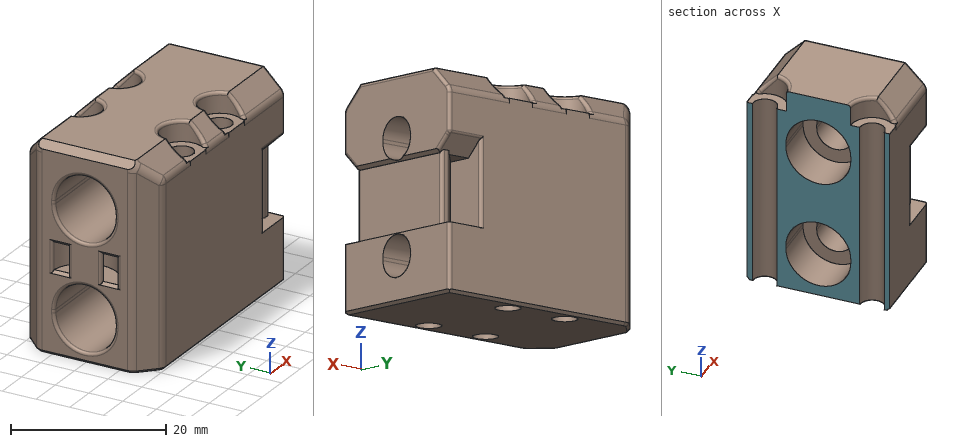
import cadquery as cq
length = 34.6
width = 20.0
height = 30.0

side_chamfer = 3.0
side_fillet = 1.5
front_top_chamfer = 1.0
bottom_chamfer = 0.4
small_fillet = 0.45

screw_xs = (12.0, 22.0)
screw_y = 7.5
screw_diameter = 3.4
counterbore_diameter = 6.0
counterbore_depth = side_chamfer
land_width = 4.1
land_depth = 1.4

bore_zs = (6.25, 21.75)
bore_width = 9.0
bore_flat = 0.5
bore_depth = 27.68
bore_rim_fillet = 0.4
through_width = 5.2

channel_center_x = -0.28
channel_z = 14.0
channel_radius = 3.7
channel_width = 2.25
channel_height = 3.95
window_edge = 0.4

opening_x = 29.03
opening_bottom = 9.25
opening_top = 18.75
roof_rise = 2.42
roof_chamfer = 0.5
web_half_width = 8.0
web_corner_x = 32.8
web_end_x = 34.05

margin = 0.05

screw_points = [(x, side * screw_y) for x in screw_xs for side in (-1, 1)]
counterbore_floor = height - counterbore_depth


def edges_between(body, low, high):
    """Edges of the body whose centres lie in the box between two opposite corners."""
    return body.edges(cq.selectors.BoxSelector(low, high))


def front_edges(body, center_z, half_width, half_height):
    """Edges on the front face in a rectangle centred on y = 0."""
    low = (-margin, -half_width - margin, center_z - half_height - margin)
    high = (margin, half_width + margin, center_z + half_height + margin)
    return edges_between(body, low, high)


def outer_block():
    """Block with broad chamfers on the front corners and long top edges, and softened edges."""
    block = cq.Workplane("XY").box(length, width, height, centered=(False, True, False))
    block = block.edges("|Z and <X").chamfer(side_chamfer)
    block = block.faces(">Z").edges("|X").chamfer(side_chamfer)

    uprights = block.edges("|Z").edges("not >X")
    long_ridges = block.edges("|X").edges("not (<Z or >Z)")
    corner_ridges = block.edges("not (|X or |Y or |Z or >X)").edges(">Z")
    block = uprights.add(long_ridges).add(corner_ridges).fillet(side_fillet)

    block = block.faces("<X").edges(">Z").chamfer(front_top_chamfer)
    block = block.faces("<Z").edges().chamfer(bottom_chamfer)
    return block.faces(">X").edges("not <Z").fillet(small_fillet)


def cut_counterbores(body):
    """Counterbores that break out through the top chamfers onto flat lands with a sharp outer edge."""
    floor = cq.Workplane("XY", origin=(0, 0, counterbore_floor))
    counterbores = floor.pushPoints(screw_points).circle(counterbore_diameter / 2).extrude(counterbore_depth)
    body = body.cut(counterbores)

    low = (screw_xs[0] - counterbore_diameter, -width, counterbore_floor + margin)
    high = (screw_xs[-1] + counterbore_diameter, width, height + margin)
    body = edges_between(body, low, high).edges("not %LINE").fillet(small_fillet)

    land_y = (width - land_depth) / 2
    land_points = [(x, side * land_y) for x in screw_xs for side in (-1, 1)]
    lands = floor.pushPoints(land_points).rect(land_width, land_depth).extrude(-land_depth)
    return body.union(lands)


def cut_screw_holes(body):
    """Screw holes from the counterbores through the bottom."""
    holes = cq.Workplane("XY").pushPoints(screw_points).circle(screw_diameter / 2).extrude(height)
    return body.cut(holes)


def rear_web():
    """Web in the rear opening, with sides that slope inwards at 45 degrees towards its root."""
    root_half_width = web_half_width - (web_corner_x - opening_x)
    web = (
        cq.Workplane("XY", origin=(0, 0, opening_bottom))
        .moveTo(opening_x, -root_half_width)
        .lineTo(web_corner_x, -web_half_width)
        .lineTo(web_end_x, -web_half_width)
        .lineTo(web_end_x, web_half_width)
        .lineTo(web_corner_x, web_half_width)
        .lineTo(opening_x, root_half_width)
        .close()
        .extrude(opening_top + roof_rise - opening_bottom)
    )
    return web.edges("|Z").edges("not <X").fillet(small_fillet)


def cut_rear_opening(body):
    """Clip opening across the rear, with softened edges above its sharp floor and a web inside."""
    half_width = width / 2
    roof_half_width = half_width - roof_rise
    opening_side_top = opening_top + roof_rise
    opening = (
        cq.Workplane("YZ", origin=(opening_x, 0, 0))
        .moveTo(-half_width, opening_bottom)
        .lineTo(half_width, opening_bottom)
        .lineTo(half_width, opening_side_top)
        .lineTo(roof_half_width, opening_top)
        .lineTo(-roof_half_width, opening_top)
        .lineTo(-half_width, opening_side_top)
        .close()
        .extrude(length - opening_x)
    )
    body = body.cut(opening)

    low = (length - margin, -margin, opening_top - margin)
    high = (length + margin, margin, opening_top + margin)
    body = edges_between(body, low, high).chamfer(roof_chamfer)

    low = (length - margin, -half_width, opening_top + margin)
    high = (length + margin, half_width, opening_side_top + margin)
    roof_slopes = edges_between(body, low, high).edges("not (|Y or |Z)")
    low = (opening_x - margin, -width, opening_bottom + margin)
    high = (length - small_fillet - margin, width, opening_side_top + margin)
    mouths = edges_between(body, low, high).edges("<Y or >Y")
    body = roof_slopes.add(mouths).fillet(small_fillet)
    return body.union(rear_web())


def cut_bores(body):
    """Wide bores from the front face, each narrowing to a smaller hole that runs out at the rear."""
    front = cq.Workplane("YZ").pushPoints([(0, z) for z in bore_zs])
    body = body.cut(front.slot2D(bore_width + bore_flat, bore_width, 90).extrude(bore_depth))
    body = body.cut(front.slot2D(through_width + bore_flat, through_width, 90).extrude(length))
    for bore_z in bore_zs:
        rim = front_edges(body, bore_z, bore_width / 2, (bore_width + bore_flat) / 2)
        body = rim.fillet(bore_rim_fillet)
    return body


def cut_strap_channel(body):
    """Curved channel between two front windows, which have bevelled ends and rounded sides."""
    ring = (
        cq.Workplane("XY", origin=(channel_center_x, 0, channel_z - channel_height / 2))
        .circle(channel_radius + channel_width / 2)
        .circle(channel_radius - channel_width / 2)
        .extrude(channel_height)
    )
    body = body.cut(ring)
    half_width = channel_radius + channel_width / 2
    half_height = channel_height / 2
    body = front_edges(body, channel_z, half_width, half_height).edges("|Y").chamfer(window_edge)
    return front_edges(body, channel_z, half_width, half_height).edges("|Z").fillet(window_edge)


result = outer_block()
result = cut_counterbores(result)
result = cut_screw_holes(result)
result = cut_rear_opening(result)
result = cut_strap_channel(result)
result = cut_bores(result)